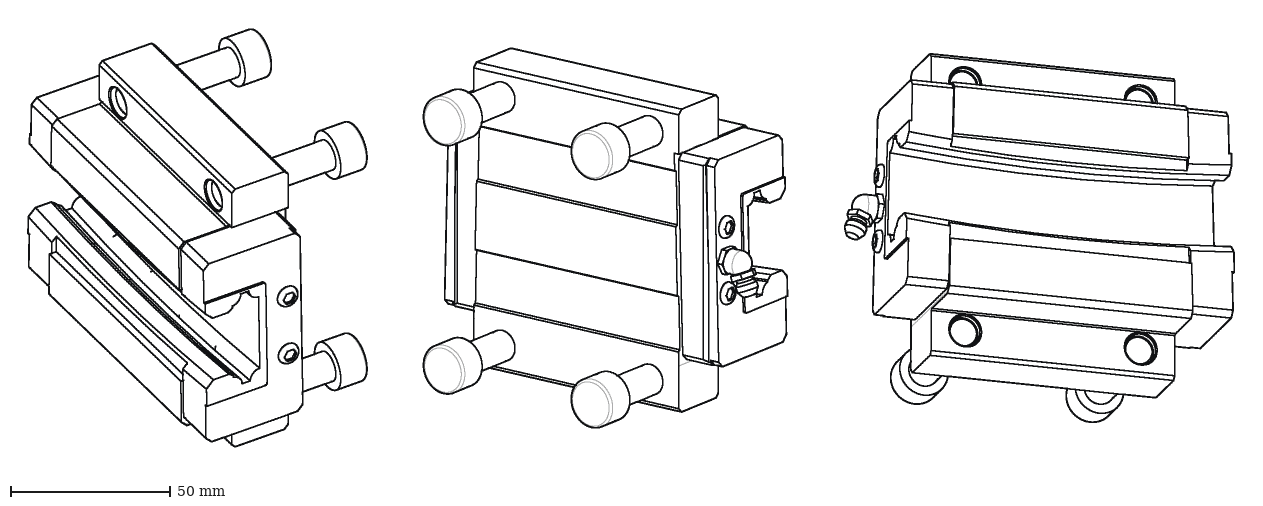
import cadquery as cq
import math

FLANGE_HEIGHT = 100.0
FLANGE_LENGTH = 80.5
FLANGE_FRONT = 18.5
BACK = 39.25
FLANGE_BACK_CHAMFER = 1.5
FLANGE_FRONT_CHAMFER = 1.2
FLANGE_ROOT = 35.5
BLOCK_HALF_HEIGHT = 35.1
ROOT_RELIEF = 0.9
EDGE_CHAMFER = 2.0

END_LEAN = math.tan(math.radians(1.45))
TAPER_START = -34.3
BLOCK_MID_HALF_LENGTH = FLANGE_LENGTH / 2 + TAPER_START * END_LEAN

CHANNEL_INNER = 11.3
CHANNEL_OUTER = 29.8
CHANNEL_DEPTH = 0.8
CHANNEL_RUNOUT = 0.5

CAP_FRONT = 0.8
CAP_BACK = 37.1
CAP_BOTTOM = -33.3
CAP_TOP = 34.7
CAP_MID_HALF_LENGTH = 53.0
PLATE_BACK = 36.4
PLATE_START = 49.8
STEP_RUNOUT = 1.6
PAD_THICKNESS = 0.75
PAD_BACK = 23.1
PAD_HALF_HEIGHT = 19.55
PAD_MID_Z = 1.0
PAD_CHAMFER = 0.6

RAIL_RADIUS = 600.0
OPENING_FLOOR = 20.4
BEAD_RADIUS = 3.5
BEAD_AXIS_OFFSET = 17.1
FRONT_BEAD_Y = 10.4
BEAD_END_Y = 10.9
BEAD_STEP = 0.6
LIP_HALF_GAP = 11.75
LIP_BACK = 9.2
LIP_FRONT = 3.4
BAR_INNER = 17.4
BAR_LEDGE = 2.5

BOLT_SPACING_X = 58.0
BOLT_SPACING_Z = 82.0
BOLT_DIAMETER = 10.0
BOLT_LENGTH = 40.0
BOLT_TIP_CHAMFER = 0.6
BOLT_HEAD_DIAMETER = 16.0
BOLT_HEAD_HEIGHT = 10.0
BOLT_HEAD_ROUND = 0.8
BOLT_END = 70.5
HOLE_CHAMFER = 0.4

FITTING_Y = 31.3
FITTING_Z = 1.0
SCREW_OFFSET_Z = 10.9
SCREW_DIAMETER = 7.2
SCREW_HEIGHT = 1.45
SCREW_ROUND = 1.3
SOCKET_WIDTH = 3.8
SOCKET_DEPTH = 0.8
NIPPLE_COLLAR_WIDTH = 8.0
NIPPLE_COLLAR_END = -54.8
NIPPLE_DIAMETER = 8.0
ELBOW_X = -58.1
NOZZLE_TILT = 22.0
NOZZLE_RING_WIDTH = 7.3
NOZZLE_RING_START = 3.2
NOZZLE_RING_END = 5.0
NOZZLE_NECK_END = 6.0
NOZZLE_WIDEST = 7.0
NOZZLE_TAPER_START = 8.8
NOZZLE_END = 10.8
NOZZLE_NECK_RADIUS = 2.6
NOZZLE_HEAD_RADIUS = 3.4
NOZZLE_TIP_RADIUS = 2.1
HEX_CORNER_RATIO = 2 / math.sqrt(3)


def prism_along_x(points, half_length):
    """Prism of a (Y, Z) outline, centred on X = 0."""
    return cq.Workplane("YZ").polyline(points).close().extrude(half_length, both=True)


def leaning_slab(mid_half_length, y_min, y_max, z_min, z_max):
    """Box whose two X ends lean; mid_half_length is its half length at Z = 0."""
    low = mid_half_length - z_min * END_LEAN
    high = mid_half_length - z_max * END_LEAN
    outline = [(-low, z_min), (low, z_min), (high, z_max), (-high, z_max)]
    return (
        cq.Workplane("XZ", origin=(0, y_min, 0))
        .polyline(outline).close().extrude(y_min - y_max)
    )


def face_x(z):
    """Half length of the cap end faces at height z."""
    return CAP_MID_HALF_LENGTH - z * END_LEAN


def make_flange(side):
    """One mounting flange; side is +1 above and -1 below."""
    middle = side * (FLANGE_HEIGHT / 2 + FLANGE_ROOT) / 2
    outer = ">Z" if side > 0 else "<Z"
    flange = cq.Workplane("XY").box(
        FLANGE_LENGTH, BACK - FLANGE_FRONT, FLANGE_HEIGHT / 2 - FLANGE_ROOT
    ).translate((0, (BACK + FLANGE_FRONT) / 2, middle))
    flange = flange.edges(f"{outer} and >Y").chamfer(FLANGE_BACK_CHAMFER)
    return flange.edges(f"{outer} and <Y").chamfer(FLANGE_FRONT_CHAMFER)


def make_block():
    """Flanged block between the two end caps, without the rail opening."""
    half = BLOCK_HALF_HEIGHT
    relief_y = FLANGE_FRONT - ROOT_RELIEF
    upper_side = [
        (EDGE_CHAMFER, half),
        (relief_y, half),
        (FLANGE_FRONT, FLANGE_ROOT),
        (BACK, FLANGE_ROOT),
    ]
    outline = [(0, -half + EDGE_CHAMFER), (0, half - EDGE_CHAMFER)] + upper_side
    outline += [(y, -z) for y, z in reversed(upper_side)]
    block = prism_along_x(outline, FLANGE_LENGTH / 2)
    keep = leaning_slab(BLOCK_MID_HALF_LENGTH, 0, BACK, TAPER_START, FLANGE_ROOT)
    foot = cq.Workplane("XY").box(
        FLANGE_LENGTH, BACK, FLANGE_ROOT + TAPER_START, centered=(True, False, False)
    ).translate((0, 0, -FLANGE_ROOT))
    block = block.intersect(keep.union(foot))
    for side in (1, -1):
        block = block.union(make_flange(side))
        channel = [
            (BACK, side * CHANNEL_INNER),
            (BACK - CHANNEL_DEPTH, side * (CHANNEL_INNER + CHANNEL_RUNOUT)),
            (BACK - CHANNEL_DEPTH, side * (CHANNEL_OUTER - CHANNEL_RUNOUT)),
            (BACK, side * CHANNEL_OUTER),
        ]
        block = block.cut(prism_along_x(channel, FLANGE_LENGTH / 2))
    return block


def cap_tier(back, mid_half_length):
    """Chamfered end-cap profile over one length, between its leaning ends."""
    tier = leaning_slab(mid_half_length, CAP_FRONT, back, CAP_BOTTOM, CAP_TOP)
    return tier.edges("|X").chamfer(EDGE_CHAMFER)


def make_caps():
    """Both end caps with their stepped backs and seal pads."""
    body = cap_tier(CAP_BACK, PLATE_START)
    plate = cap_tier(PLATE_BACK, CAP_MID_HALF_LENGTH)
    run_start = PLATE_START - STEP_RUNOUT
    far_end = PLATE_START + STEP_RUNOUT
    for side in (1, -1):
        slope = [
            (side * run_start, CAP_BACK),
            (side * PLATE_START, PLATE_BACK),
            (side * far_end, PLATE_BACK),
            (side * far_end, CAP_BACK),
        ]
        body = body.cut(
            cq.Workplane("XY").polyline(slope).close().extrude(FLANGE_HEIGHT, both=True)
        )
    pad = leaning_slab(
        CAP_MID_HALF_LENGTH + PAD_THICKNESS,
        CAP_FRONT,
        PAD_BACK,
        PAD_MID_Z - PAD_HALF_HEIGHT,
        PAD_MID_Z + PAD_HALF_HEIGHT,
    )
    pad = pad.edges(">Y and (<Z or >Z)").chamfer(PAD_CHAMFER)
    return body.union(plate).union(pad)


def make_screw(end, offset_z):
    """Domed socket screw head on one cap face; end is +1 or -1 along X."""
    z = FITTING_Z + offset_z
    head = cq.Workplane("YZ").circle(SCREW_DIAMETER / 2).extrude(SCREW_HEIGHT)
    head = head.faces(">X").edges().fillet(SCREW_ROUND)
    root = cq.Workplane("YZ").circle(SCREW_DIAMETER / 2).extrude(-SCREW_HEIGHT)
    socket = (
        cq.Workplane("YZ", origin=(SCREW_HEIGHT, 0, 0))
        .polygon(6, SOCKET_WIDTH * HEX_CORNER_RATIO).extrude(-SOCKET_DEPTH)
    )
    screw = head.union(root).cut(socket)
    if end < 0:
        screw = screw.mirror("YZ")
    return screw.translate((end * face_x(z), FITTING_Y, z))


def make_rail_opening():
    """Ring-shaped cutter: the opening profile swept around the rail bend axis."""
    axis_z = BEAD_AXIS_OFFSET
    diagonal = BEAD_RADIUS * math.sqrt(0.5)
    bead_end_z = axis_z - math.sqrt(BEAD_RADIUS ** 2 - (BEAD_END_Y - FRONT_BEAD_Y) ** 2)
    mouth_z = LIP_HALF_GAP + LIP_FRONT

    def half(side):
        profile = (
            cq.Workplane("YZ")
            .moveTo(0, 0)
            .lineTo(OPENING_FLOOR, 0)
            .lineTo(OPENING_FLOOR, side * (axis_z - BEAD_RADIUS))
            .threePointArc(
                (OPENING_FLOOR - diagonal, side * (axis_z - diagonal)),
                (OPENING_FLOOR - BEAD_RADIUS, side * axis_z),
            )
            .lineTo(FRONT_BEAD_Y + BEAD_RADIUS, side * axis_z)
            .threePointArc(
                (FRONT_BEAD_Y + diagonal, side * (axis_z - diagonal)),
                (BEAD_END_Y, side * bead_end_z),
            )
            .lineTo(BEAD_END_Y, side * (bead_end_z - BEAD_STEP))
            .lineTo(LIP_BACK, side * LIP_HALF_GAP)
            .lineTo(LIP_FRONT, side * LIP_HALF_GAP)
            .lineTo(0, side * mouth_z)
            .close()
        )
        return profile.revolve(360, (0, RAIL_RADIUS), (1, RAIL_RADIUS))

    return half(1).union(half(-1))


def bolt_positions():
    """(X, Z) axes of the four flange bolts."""
    return [
        (x, z)
        for x in (-BOLT_SPACING_X / 2, BOLT_SPACING_X / 2)
        for z in (-BOLT_SPACING_Z / 2, BOLT_SPACING_Z / 2)
    ]


def make_bolt_hole(x, z):
    """Through hole of one flange bolt with a chamfered front rim."""
    hole = (
        cq.Workplane("XZ", origin=(x, FLANGE_FRONT, z))
        .circle(BOLT_DIAMETER / 2).extrude(FLANGE_FRONT - BACK)
    )
    rim = cq.Workplane("XZ", origin=(x, FLANGE_FRONT, z)).circle(BOLT_DIAMETER / 2 + HOLE_CHAMFER)
    rim = rim.workplane(offset=-HOLE_CHAMFER).circle(BOLT_DIAMETER / 2).loft()
    return hole.union(rim)


def make_bolt(x, z):
    """Cap-head bolt pointing toward -Y."""
    head_face = BOLT_END - BOLT_HEAD_HEIGHT
    head = (
        cq.Workplane("XZ", origin=(x, BOLT_END, z))
        .circle(BOLT_HEAD_DIAMETER / 2).extrude(BOLT_HEAD_HEIGHT)
        .faces(">Y").edges().fillet(BOLT_HEAD_ROUND)
    )
    shank = (
        cq.Workplane("XZ", origin=(x, head_face, z))
        .circle(BOLT_DIAMETER / 2).extrude(BOLT_LENGTH)
        .faces("<Y").edges().chamfer(BOLT_TIP_CHAMFER)
    )
    return head.union(shank)


def make_bar_recess():
    """Cutter between the two flat front bars of the block, leaving a ledge beside each."""
    return leaning_slab(BLOCK_MID_HALF_LENGTH, 0, BAR_LEDGE, -BAR_INNER, BAR_INNER)


def make_carriage():
    """Block and end caps in one piece, with the curved rail opening and bolt holes."""
    carriage = make_block().union(make_caps())
    for end in (-1, 1):
        for offset_z in (-SCREW_OFFSET_Z, SCREW_OFFSET_Z):
            carriage = carriage.union(make_screw(end, offset_z))
    carriage = carriage.cut(make_bar_recess()).cut(make_rail_opening())
    for x, z in bolt_positions():
        carriage = carriage.cut(make_bolt_hole(x, z))
    return carriage


def make_nipple():
    """Elbow grease nipple standing on the -X cap face."""
    elbow = (ELBOW_X, FITTING_Y, FITTING_Z)
    collar_root = -face_x(FITTING_Z + NIPPLE_COLLAR_WIDTH)
    collar = cq.Workplane("YZ", origin=(NIPPLE_COLLAR_END, FITTING_Y, FITTING_Z))
    collar = collar.polygon(6, NIPPLE_COLLAR_WIDTH * HEX_CORNER_RATIO)
    collar = collar.extrude(collar_root - NIPPLE_COLLAR_END)
    collar = collar.cut(
        leaning_slab(CAP_MID_HALF_LENGTH, CAP_FRONT, PLATE_BACK, CAP_BOTTOM, CAP_TOP)
    )
    radius = NIPPLE_DIAMETER / 2
    rounded_end = (ELBOW_X - radius * math.sqrt(0.5), FITTING_Y + radius * math.sqrt(0.5))
    barrel = (
        cq.Workplane("XY", origin=(0, 0, FITTING_Z))
        .moveTo(NIPPLE_COLLAR_END, FITTING_Y)
        .lineTo(NIPPLE_COLLAR_END, FITTING_Y + radius)
        .lineTo(ELBOW_X, FITTING_Y + radius)
        .threePointArc(rounded_end, (ELBOW_X - radius, FITTING_Y))
        .close().revolve(360, (0, FITTING_Y), (1, FITTING_Y))
    )

    nozzle = (
        cq.Workplane("XZ")
        .polyline([
            (0, 0),
            (NOZZLE_NECK_RADIUS, 0),
            (NOZZLE_NECK_RADIUS, -NOZZLE_NECK_END),
            (NOZZLE_HEAD_RADIUS, -NOZZLE_WIDEST),
            (NOZZLE_HEAD_RADIUS, -NOZZLE_TAPER_START),
            (NOZZLE_TIP_RADIUS, -NOZZLE_END),
            (0, -NOZZLE_END),
        ])
        .close().revolve(360, (0, 0), (0, 1))
    )
    ring = (
        cq.Workplane("XY", origin=(0, 0, -NOZZLE_RING_END))
        .polygon(6, NOZZLE_RING_WIDTH * HEX_CORNER_RATIO)
        .extrude(NOZZLE_RING_END - NOZZLE_RING_START)
    )
    nozzle = nozzle.union(ring).rotate((0, 0, 0), (0, 1, 0), NOZZLE_TILT).translate(elbow)
    return collar.union(barrel).union(nozzle)


carriage = make_carriage()
bolts = [make_bolt(x, z) for x, z in bolt_positions()]
nipple = make_nipple()

result = cq.Compound.makeCompound(
    [carriage.val(), *[bolt.val() for bolt in bolts], nipple.val()]
)